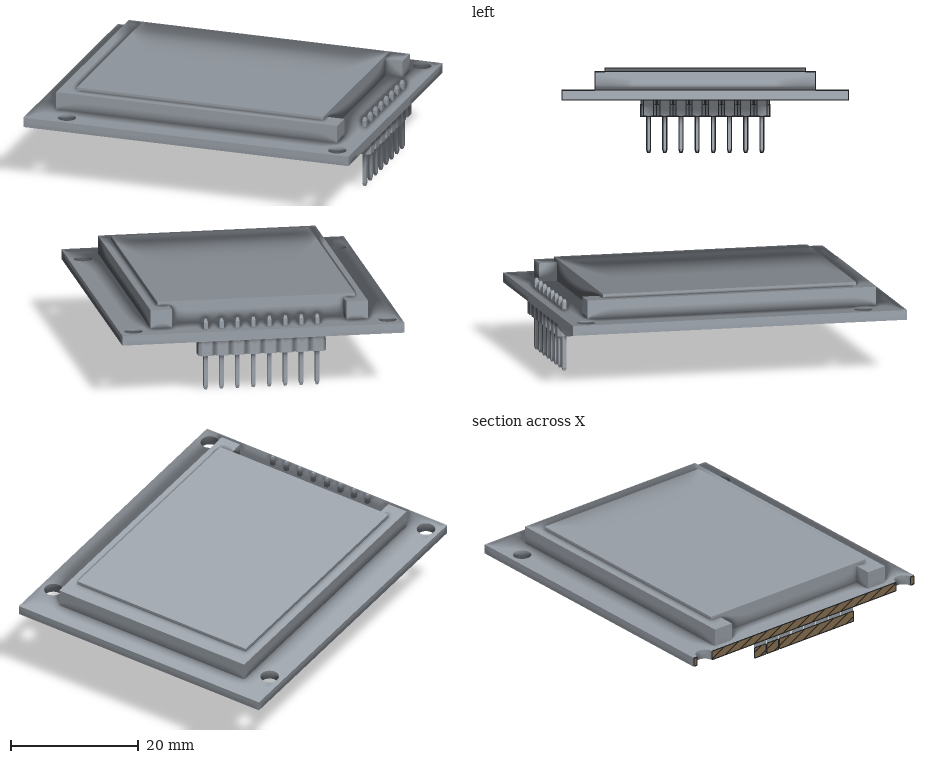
import cadquery as cq

board_length = 54.0
board_width = 45.0
board_thickness = 1.55

hole_diameter = 2.9
left_hole_x = -20.5
right_hole_x = 24.35
hole_y = 20.25

frame_length = 46.65
frame_width = 34.6
frame_height = 2.9
glass_length = 40.95
glass_width = 31.5
glass_thickness = 0.6
frame_notch_width = 27.8
frame_notch_depth = (frame_length - glass_length) / 2

pin_count = 8
pin_pitch = 2.55
header_x = 25.0
header_size = 2.55
header_chamfer = 0.5
groove_width = 1.7
groove_depth = 0.65

pin_side = 0.65
pin_tip_side = 0.4
pin_taper = 0.5
pin_top = 3.2
part_height = 13.3
glass_top = board_thickness + frame_height + glass_thickness
pin_bottom = glass_top - part_height


def make_board():
    """Flat rectangular board with four mounting holes."""
    hole_centers = [(x, y) for x in (left_hole_x, right_hole_x) for y in (-hole_y, hole_y)]
    board = cq.Workplane("XY").rect(board_length, board_width).extrude(board_thickness)
    holes = (
        cq.Workplane("XY").pushPoints(hole_centers).circle(hole_diameter / 2).extrude(board_thickness)
    )
    return board.cut(holes)


def make_display():
    """Frame notched at its +X side, carrying a thinner glass plate."""
    frame = (
        cq.Workplane("XY", origin=(0, 0, board_thickness))
        .rect(frame_length, frame_width)
        .extrude(frame_height)
    )
    notch = (
        cq.Workplane("XY", origin=((frame_length - frame_notch_depth) / 2, 0, board_thickness))
        .rect(frame_notch_depth, frame_notch_width)
        .extrude(frame_height)
    )
    glass = (
        cq.Workplane("XY", origin=(0, 0, board_thickness + frame_height))
        .rect(glass_length, glass_width)
        .extrude(glass_thickness)
    )
    return frame.cut(notch).union(glass)


def make_header_cell(y):
    """One eight-sided plastic block of the header, below the board."""
    return (
        cq.Workplane("XY", origin=(header_x, y, 0))
        .rect(header_size, pin_pitch)
        .extrude(-header_size)
        .edges("|Z")
        .chamfer(header_chamfer)
    )


def make_header_groove():
    """Channel running along Y through the top of every header block."""
    return (
        cq.Workplane("XY", origin=(header_x, 0, 0))
        .rect(groove_width, pin_count * pin_pitch)
        .extrude(-groove_depth)
    )


def make_pin(y):
    """Square pin through header and board, tapered at both ends."""
    shaft_bottom = pin_bottom + pin_taper
    shaft_top = pin_top - pin_taper
    shaft = (
        cq.Workplane("XY", origin=(header_x, y, shaft_bottom))
        .rect(pin_side, pin_side)
        .extrude(shaft_top - shaft_bottom)
    )
    upper_tip = (
        cq.Workplane("XY", origin=(header_x, y, shaft_top))
        .rect(pin_side, pin_side)
        .workplane(offset=pin_taper)
        .rect(pin_tip_side, pin_tip_side)
        .loft()
    )
    lower_tip = (
        cq.Workplane("XY", origin=(header_x, y, shaft_bottom))
        .rect(pin_side, pin_side)
        .workplane(offset=-pin_taper)
        .rect(pin_tip_side, pin_tip_side)
        .loft()
    )
    return shaft.union(upper_tip).union(lower_tip)


pin_positions = [(i - (pin_count - 1) / 2) * pin_pitch for i in range(pin_count)]

header = make_header_cell(pin_positions[0])
for y in pin_positions[1:]:
    header = header.union(make_header_cell(y))
header = header.cut(make_header_groove())

result = make_board().union(make_display()).union(header)
for y in pin_positions:
    result = result.union(make_pin(y))